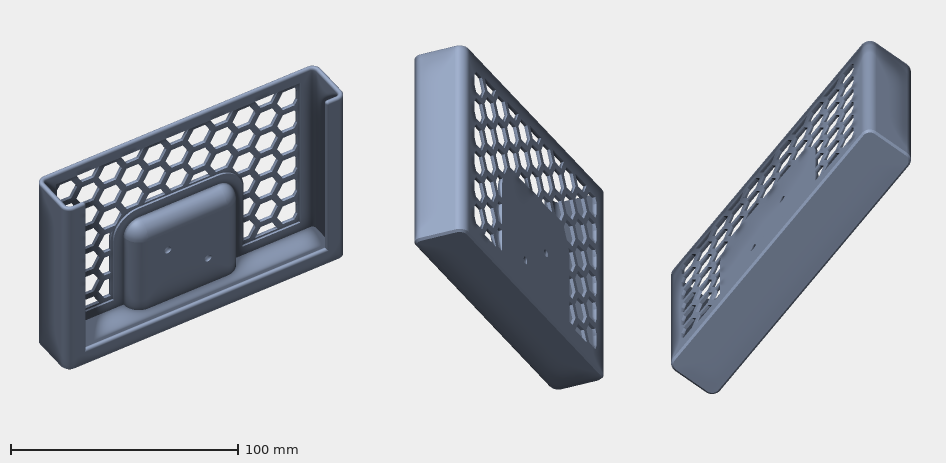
import cadquery as cq
import math

CAVITY_X = 21.0
CAVITY_Y = 141.0
WALL = 2.52
FLOOR = 2.0
HEIGHT = 95.0
INNER_RADIUS = 2.0
BASE_CHAMFER = 1.0

OUTER_RADIUS = INNER_RADIUS + WALL
MIDDLE_RADIUS = INNER_RADIUS + WALL / 2
OUTER_X = CAVITY_X + 2 * WALL
OUTER_Y = CAVITY_Y + 2 * WALL
RIM_RADIUS = WALL / 2
BACK_INNER_X = -CAVITY_X / 2
BACK_OUTER_X = -OUTER_X / 2
FRONT_INNER_X = CAVITY_X / 2
FRONT_MIDDLE_X = FRONT_INNER_X + WALL / 2

WINDOW_WIDTH = 125.0
WINDOW_SILL = 9.0

GRILLE_WIDTH = 125.0
GRILLE_HEIGHT = 80.0
GRILLE_BOTTOM = 8.0
HEX_RADIUS = 6.0
HEX_GAP = 3.0
GRILLE_THICKNESS = 1.55
RECESS_MARGIN = 1.0

GRILLE_CENTER_Z = GRILLE_BOTTOM + GRILLE_HEIGHT / 2
ROW_PITCH = HEX_RADIUS * math.sqrt(3) + HEX_GAP
COLUMN_PITCH = ROW_PITCH * math.sqrt(3) / 2
COLUMN_REACH = math.ceil(GRILLE_WIDTH / 2 / COLUMN_PITCH)
ROW_REACH = math.ceil(GRILLE_HEIGHT / 2 / ROW_PITCH)

BOSS_RADIUS = 8.0
BOSS_WIDTH = 57.0
BOSS_TOP = 49.6
BOSS_MARGIN = 6.0

BOSS_CORNER_Y = BOSS_WIDTH / 2 - BOSS_RADIUS
BOSS_CORNER_Z = BOSS_TOP - BOSS_RADIUS

SCREW_DIAMETER = 3.6
SCREW_SPACING_Y = 20.9
SCREW_SPACING_Z = 14.6
SCREW_CENTER_Z = 24.25


def upright_block(size_x, size_y, bottom, top, corner_radius):
    """Block centred on the Z axis with rounded vertical edges."""
    base = cq.Workplane("XY", origin=(0, 0, bottom))
    return base.rect(size_x, size_y).extrude(top - bottom).edges("|Z").fillet(corner_radius)


def make_top_rim():
    """Round bead along the middle of the walls that makes their top edge half-round."""
    bead_z = HEIGHT - RIM_RADIUS
    middle = upright_block(CAVITY_X + WALL, CAVITY_Y + WALL, 0, bead_z, MIDDLE_RADIUS)
    path = middle.faces(">Z").wires().val()
    start = path.positionAt(0)
    section = cq.Workplane(cq.Plane(start, normal=path.tangentAt(0)))
    return section.circle(RIM_RADIUS).sweep(cq.Workplane(obj=path))


def make_tray():
    """Tray with a chamfered base and a half-round top rim."""
    straight_top = HEIGHT - RIM_RADIUS
    outer = upright_block(OUTER_X, OUTER_Y, 0, straight_top, OUTER_RADIUS)
    outer = outer.faces("<Z").edges().chamfer(BASE_CHAMFER)
    cavity = upright_block(CAVITY_X, CAVITY_Y, FLOOR, HEIGHT, INNER_RADIUS)
    return outer.cut(cavity).union(make_top_rim())


def make_window():
    """Cutter for the +X wall that leaves half-round jambs with ball corners and a half-round sill."""
    jamb_y = WINDOW_WIDTH / 2 + RIM_RADIUS
    sill_z = WINDOW_SILL - RIM_RADIUS
    wall_plane = cq.Workplane("YZ", origin=(FRONT_INNER_X, 0, 0))
    opening = wall_plane.moveTo(-jamb_y, sill_z).lineTo(jamb_y, sill_z)
    opening = opening.lineTo(jamb_y, HEIGHT).lineTo(-jamb_y, HEIGHT).close().extrude(WALL)
    sill = cq.Workplane("XZ", origin=(FRONT_MIDDLE_X, jamb_y, sill_z)).circle(RIM_RADIUS)
    window = opening.cut(sill.extrude(2 * jamb_y))
    jamb_top = HEIGHT - RIM_RADIUS
    for side in (-1, 1):
        jamb = cq.Workplane("XY", origin=(FRONT_MIDDLE_X, side * jamb_y, 0)).circle(RIM_RADIUS)
        corner = cq.Workplane("XY", origin=(FRONT_MIDDLE_X, side * jamb_y, jamb_top))
        window = window.cut(jamb.extrude(jamb_top)).cut(corner.sphere(RIM_RADIUS))
    return window


def make_boss():
    """Raised pad standing on the floor, with quarter-round edges and spherical top corners."""
    core_height = BOSS_CORNER_Z - FLOOR
    boss = cq.Workplane("XY", origin=(0, 0, FLOOR + core_height / 2))
    boss = boss.box(2 * BOSS_RADIUS, 2 * BOSS_CORNER_Y, core_height)
    top_edge = cq.Workplane("XZ", origin=(0, BOSS_CORNER_Y, BOSS_CORNER_Z)).circle(BOSS_RADIUS)
    boss = boss.union(top_edge.extrude(2 * BOSS_CORNER_Y))
    for side in (-1, 1):
        side_edge = cq.Workplane("XY", origin=(0, side * BOSS_CORNER_Y, FLOOR)).circle(BOSS_RADIUS)
        corner = cq.Workplane("XY", origin=(0, side * BOSS_CORNER_Y, BOSS_CORNER_Z))
        boss = boss.union(side_edge.extrude(core_height)).union(corner.sphere(BOSS_RADIUS))
    inner_half = cq.Workplane("YZ").rect(2 * BOSS_WIDTH, 2 * HEIGHT).extrude(BOSS_RADIUS)
    return boss.intersect(inner_half).translate((BACK_INNER_X, 0, 0))


def make_grille_slab(start_x, depth, margin=0):
    """Slab over the grille area, grown by a margin: a rectangle less the area around the boss."""
    slab = cq.Workplane("YZ", origin=(start_x, 0, GRILLE_CENTER_Z))
    slab = slab.rect(GRILLE_WIDTH + 2 * margin, GRILLE_HEIGHT + 2 * margin).extrude(depth)
    boss_clearance = BOSS_MARGIN - margin
    solid_height = BOSS_TOP + boss_clearance
    solid_area = cq.Workplane("YZ", origin=(start_x, 0, solid_height / 2))
    solid_area = solid_area.rect(BOSS_WIDTH + 2 * boss_clearance, solid_height).extrude(depth)
    return slab.cut(solid_area.edges("|X and >Z").fillet(BOSS_RADIUS + boss_clearance))


def make_grille_recess():
    """Pocket in the inner face of the -X wall that thins it around the hexagons."""
    pocket_floor_x = BACK_OUTER_X + GRILLE_THICKNESS
    return make_grille_slab(pocket_floor_x, WALL - GRILLE_THICKNESS, RECESS_MARGIN)


def make_hexagons():
    """Hexagonal openings in staggered columns, trimmed to the grille area."""
    centers = []
    for column in range(-COLUMN_REACH, COLUMN_REACH + 1):
        stagger = ROW_PITCH / 2 * (column % 2)
        for row in range(-ROW_REACH - 1, ROW_REACH + 1):
            centers.append((column * COLUMN_PITCH, row * ROW_PITCH + stagger))
    wall_plane = cq.Workplane("YZ", origin=(BACK_OUTER_X, 0, GRILLE_CENTER_Z))
    hexagons = wall_plane.pushPoints(centers).polygon(6, 2 * HEX_RADIUS).extrude(GRILLE_THICKNESS)
    return hexagons.intersect(make_grille_slab(BACK_OUTER_X, GRILLE_THICKNESS))


def make_screw_holes():
    """Plain holes through the -X wall and the boss."""
    half_y = SCREW_SPACING_Y / 2
    half_z = SCREW_SPACING_Z / 2
    wall_plane = cq.Workplane("YZ", origin=(BACK_OUTER_X, 0, SCREW_CENTER_Z))
    holes = wall_plane.pushPoints([(half_y, -half_z), (-half_y, half_z)])
    return holes.circle(SCREW_DIAMETER / 2).extrude(WALL + BOSS_RADIUS)


tray = make_tray().cut(make_window()).cut(make_grille_recess())
result = tray.union(make_boss()).cut(make_hexagons()).cut(make_screw_holes())